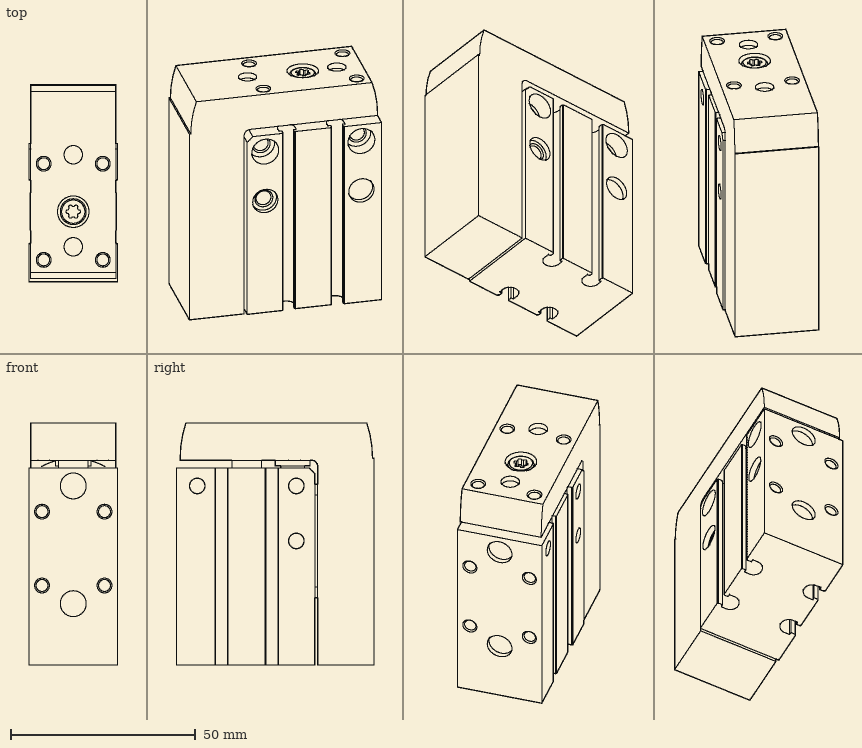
import cadquery as cq
import math


HOUSING_WIDTH = 24.0
HOUSING_DEPTH = 37.5
HOUSING_HEIGHT = 53.45
HOUSING_CHAMFER = 1.6
SLIDE_WIDTH = 23.0
SLIDE_BACK = 53.5
SLIDE_HEIGHT = 65.6
SLIDE_INNER_FACE = 38.25
CAP_UNDERSIDE = 55.5
CAP_FRONT = 1.0

CROWN_RADIUS = 30.0
CROWN_START = 56.1
BACK_LEDGE = 0.4
INNER_FILLET = 1.7

RELIEF_RADIUS = 17.7
RELIEF_TOP = 56.0

SLOT_OPENING = 3.6
SLOT_BORE = 4.8
SLOT_LIP = 1.6
SLOT_BORE_AXIS_DEPTH = 3.1
SLOT_CENTRES = (12.2, 25.85)
LEAD_IN = 0.2
LAND_RECESS = 0.25

SMALL_CORE = 3.2
SMALL_SINK = 4.0
LARGE_CORE = 4.1
LARGE_SINK = 5.0
FRONT_TAP_DEPTH = 7.9
DRILL_POINT_ANGLE = 118.0

SIDE_ROWS_Y = (5.65, 32.5)
UPPER_ROW_Z = 48.55
LOWER_ROW_Z = 33.65
FRONT_TAP_X = 8.45
FRONT_TAP_Z = (21.6, 41.6)
FRONT_RECESS_Z = (16.65, UPPER_ROW_Z)
TOP_TAP_X = 8.0
TOP_TAP_Y = (6.0, 32.0)
TOP_RECESS_Y = (9.5, 34.45)

COUNTERBORE = 7.5
COUNTERBORE_DEPTH = 4.6
SLEEVE_RECESS = 7.0
TOP_RECESS = 5.0
RECESS_DEPTH = 1.6

ROD_Y = 19.0
ROD_DIAMETER = 8.1
SCREW_BORE = 8.5
SCREW_BORE_DEPTH = 2.6
SCREW_HEAD = 7.0
SCREW_HEAD_TOP = 6.3
SCREW_HEAD_SUNK = 0.5
SOCKET_CORE = 2.9
SOCKET_TIPS = 3.95
SOCKET_LOBE = 1.0
SOCKET_LOBES = 6
SOCKET_DEPTH = 2.0

STOP_Y = 31.5
STOP_HEAD = 9.5
STOP_NECK = 6.5
STOP_HEAD_BOTTOM = 54.0

CARRIAGE_WIDTH = 16.0
CARRIAGE_LENGTH = 24.9
CARRIAGE_CAP_WIDTH = 14.4
CARRIAGE_OVERALL = 30.8


def box_between(x0, x1, y0, y1, z0, z1):
    return cq.Workplane("XY").box(x1 - x0, y1 - y0, z1 - z0, centered=False).translate((x0, y0, z0))


def cylinder(start, direction, diameter, length):
    return cq.Workplane(cq.Solid.makeCylinder(diameter / 2, length, cq.Vector(*start), cq.Vector(*direction)))


def cone(start, direction, start_diameter, end_diameter, length):
    solid = cq.Solid.makeCone(
        start_diameter / 2, end_diameter / 2, length, cq.Vector(*start), cq.Vector(*direction)
    )
    return cq.Workplane(solid)


def tapped_hole(start, direction, core, sink, length):
    """Cutter for a drilled core with a 45 degree countersink at its start."""
    countersink = cone(start, direction, sink, core, (sink - core) / 2)
    return cylinder(start, direction, core, length).union(countersink)


def sensor_slot(side, centre_y, front_start, rear_start):
    """Full-height undercut slot: bevelled mouth, narrow lip, then a wider channel with a round floor.

    front_start and rear_start are the depths below the side face at which the two mouth bevels begin.
    """
    half_opening = SLOT_OPENING / 2
    half_lip = half_opening - LEAD_IN
    half_bore = SLOT_BORE / 2
    floor_depth = SLOT_BORE_AXIS_DEPTH + half_bore

    def point(depth, offset_y):
        return side * (HOUSING_WIDTH / 2 - depth), centre_y + offset_y

    profile = (
        cq.Workplane("XY")
        .moveTo(*point(rear_start, half_opening))
        .lineTo(*point(rear_start + LEAD_IN, half_lip))
        .lineTo(*point(SLOT_LIP, half_lip))
        .lineTo(*point(SLOT_LIP, half_bore))
        .lineTo(*point(SLOT_BORE_AXIS_DEPTH, half_bore))
        .threePointArc(point(floor_depth, 0), point(SLOT_BORE_AXIS_DEPTH, -half_bore))
        .lineTo(*point(SLOT_LIP, -half_bore))
        .lineTo(*point(SLOT_LIP, -half_lip))
        .lineTo(*point(front_start + LEAD_IN, -half_lip))
        .lineTo(*point(front_start, -half_opening))
        .close()
    )
    return profile.extrude(HOUSING_HEIGHT)


def land_recess(side):
    """Thin layer taken off the side face across both slot mouths and the land between them."""
    face_x = side * HOUSING_WIDTH / 2
    floor_x = face_x - side * LAND_RECESS
    return box_between(
        min(face_x, floor_x), max(face_x, floor_x),
        SLOT_CENTRES[0] - SLOT_OPENING / 2, SLOT_CENTRES[1] + SLOT_OPENING / 2,
        0, HOUSING_HEIGHT,
    )


def side_through_hole(y, z, recess_diameter, recess_depth):
    left_face = -HOUSING_WIDTH / 2
    recess = cylinder((left_face, y, z), (1, 0, 0), recess_diameter, recess_depth)
    thread = tapped_hole(
        (left_face + recess_depth, y, z), (1, 0, 0), LARGE_CORE, LARGE_SINK, HOUSING_WIDTH - recess_depth
    )
    return recess.union(thread)


def front_tapped_hole(x, z):
    point_length = SMALL_CORE / 2 / math.tan(math.radians(DRILL_POINT_ANGLE / 2))
    point = cone((x, FRONT_TAP_DEPTH, z), (0, 1, 0), SMALL_CORE, 0, point_length)
    return tapped_hole((x, 0, z), (0, 1, 0), SMALL_CORE, SMALL_SINK, FRONT_TAP_DEPTH).union(point)


def guide_carriage():
    """Raised carriage on the back face, with a narrower cap at each end."""
    def pad(width, length):
        return box_between(
            -width / 2, width / 2, HOUSING_DEPTH, SLIDE_INNER_FACE,
            LOWER_ROW_Z - length / 2, LOWER_ROW_Z + length / 2,
        )
    return pad(CARRIAGE_WIDTH, CARRIAGE_LENGTH).union(pad(CARRIAGE_CAP_WIDTH, CARRIAGE_OVERALL))


def end_stop():
    neck = cylinder((0, STOP_Y, HOUSING_HEIGHT), (0, 0, 1), STOP_NECK, STOP_HEAD_BOTTOM - HOUSING_HEIGHT)
    head = cylinder((0, STOP_Y, STOP_HEAD_BOTTOM), (0, 0, 1), STOP_HEAD, CAP_UNDERSIDE - STOP_HEAD_BOTTOM)
    return neck.union(head)


def make_housing():
    half_width = HOUSING_WIDTH / 2
    body = box_between(-half_width, half_width, 0, HOUSING_DEPTH, 0, HOUSING_HEIGHT)
    body = body.edges(">Y and >Z").chamfer(HOUSING_CHAMFER)

    front_slot, rear_slot = SLOT_CENTRES
    for side in (-1, 1):
        body = body.cut(land_recess(side))
        body = body.cut(sensor_slot(side, front_slot, 0, LAND_RECESS))
        body = body.cut(sensor_slot(side, rear_slot, LAND_RECESS, 0))

    front_row, rear_row = SIDE_ROWS_Y
    for y in SIDE_ROWS_Y:
        body = body.cut(side_through_hole(y, UPPER_ROW_Z, COUNTERBORE, COUNTERBORE_DEPTH))
    body = body.cut(side_through_hole(rear_row, LOWER_ROW_Z, SLEEVE_RECESS, RECESS_DEPTH))
    body = body.cut(cylinder((-half_width, front_row, LOWER_ROW_Z), (1, 0, 0), SLEEVE_RECESS, RECESS_DEPTH))

    for z in FRONT_RECESS_Z:
        body = body.cut(cylinder((0, 0, z), (0, 1, 0), SLEEVE_RECESS, RECESS_DEPTH))
    for x in (-FRONT_TAP_X, FRONT_TAP_X):
        for z in FRONT_TAP_Z:
            body = body.cut(front_tapped_hole(x, z))

    return body.union(guide_carriage()).union(end_stop())


def slide_blank():
    """L-shaped profile in the YZ plane, extruded across the slide width."""
    def crown_inset(z):
        return CROWN_RADIUS - math.sqrt(CROWN_RADIUS ** 2 - (z - CROWN_START) ** 2)

    middle_z = (CROWN_START + SLIDE_HEIGHT) / 2
    crown_back = SLIDE_BACK - BACK_LEDGE
    profile = (
        cq.Workplane("YZ")
        .moveTo(SLIDE_INNER_FACE, 0)
        .lineTo(SLIDE_BACK, 0)
        .lineTo(SLIDE_BACK, CROWN_START)
        .lineTo(crown_back, CROWN_START)
        .threePointArc(
            (crown_back - crown_inset(middle_z), middle_z),
            (crown_back - crown_inset(SLIDE_HEIGHT), SLIDE_HEIGHT),
        )
        .lineTo(CAP_FRONT + crown_inset(SLIDE_HEIGHT), SLIDE_HEIGHT)
        .threePointArc((CAP_FRONT + crown_inset(middle_z), middle_z), (CAP_FRONT, CROWN_START))
        .lineTo(CAP_FRONT, CAP_UNDERSIDE)
        .lineTo(SLIDE_INNER_FACE - INNER_FILLET, CAP_UNDERSIDE)
        .radiusArc((SLIDE_INNER_FACE, CAP_UNDERSIDE - INNER_FILLET), INNER_FILLET)
        .close()
    )
    return profile.extrude(SLIDE_WIDTH / 2, both=True)


def fillet_relief():
    """Wide round cutter that clears the middle of the inner fillet down to the flat faces."""
    disc = cylinder(
        (0, SLIDE_INNER_FACE - INNER_FILLET, RELIEF_TOP - RELIEF_RADIUS),
        (0, 1, 0), 2 * RELIEF_RADIUS, INNER_FILLET,
    )
    below_cap = box_between(
        -SLIDE_WIDTH / 2, SLIDE_WIDTH / 2,
        SLIDE_INNER_FACE - INNER_FILLET, SLIDE_INNER_FACE,
        CAP_UNDERSIDE - INNER_FILLET, CAP_UNDERSIDE,
    )
    return disc.intersect(below_cap)


def screw_socket(top_z):
    """Six-lobed socket."""
    floor_z = top_z - SOCKET_DEPTH
    socket = cylinder((0, ROD_Y, floor_z), (0, 0, 1), SOCKET_CORE, SOCKET_DEPTH)
    lobe_radius = (SOCKET_TIPS - SOCKET_LOBE) / 2
    for index in range(SOCKET_LOBES):
        angle = 2 * math.pi * index / SOCKET_LOBES
        centre = (lobe_radius * math.cos(angle), ROD_Y + lobe_radius * math.sin(angle), floor_z)
        socket = socket.union(cylinder(centre, (0, 0, 1), SOCKET_LOBE, SOCKET_DEPTH))
    return socket


def screw_head():
    top_z = SLIDE_HEIGHT - SCREW_HEAD_SUNK
    bottom_z = SLIDE_HEIGHT - SCREW_BORE_DEPTH
    bevel = (SCREW_HEAD - SCREW_HEAD_TOP) / 2
    head = cylinder((0, ROD_Y, bottom_z), (0, 0, 1), SCREW_HEAD, top_z - bevel - bottom_z)
    rim = cone((0, ROD_Y, top_z - bevel), (0, 0, 1), SCREW_HEAD, SCREW_HEAD_TOP, bevel)
    return head.union(rim)


def make_slide():
    slide = slide_blank().cut(fillet_relief())

    cap_thickness = SLIDE_HEIGHT - CAP_UNDERSIDE
    for x in (-TOP_TAP_X, TOP_TAP_X):
        for y in TOP_TAP_Y:
            start = (x, y, SLIDE_HEIGHT)
            slide = slide.cut(tapped_hole(start, (0, 0, -1), SMALL_CORE, SMALL_SINK, cap_thickness))
    for y in TOP_RECESS_Y:
        slide = slide.cut(cylinder((0, y, SLIDE_HEIGHT), (0, 0, -1), TOP_RECESS, RECESS_DEPTH))

    slide = slide.cut(cylinder((0, ROD_Y, SLIDE_HEIGHT), (0, 0, -1), SCREW_BORE, SCREW_BORE_DEPTH))
    slide = slide.union(screw_head())
    slide = slide.cut(screw_socket(SLIDE_HEIGHT - SCREW_HEAD_SUNK))

    rod = cylinder((0, ROD_Y, HOUSING_HEIGHT), (0, 0, 1), ROD_DIAMETER, CAP_UNDERSIDE - HOUSING_HEIGHT)
    return slide.union(rod)


housing = make_housing()
slide = make_slide()

result = cq.Compound.makeCompound([housing.solids().val(), slide.solids().val()])